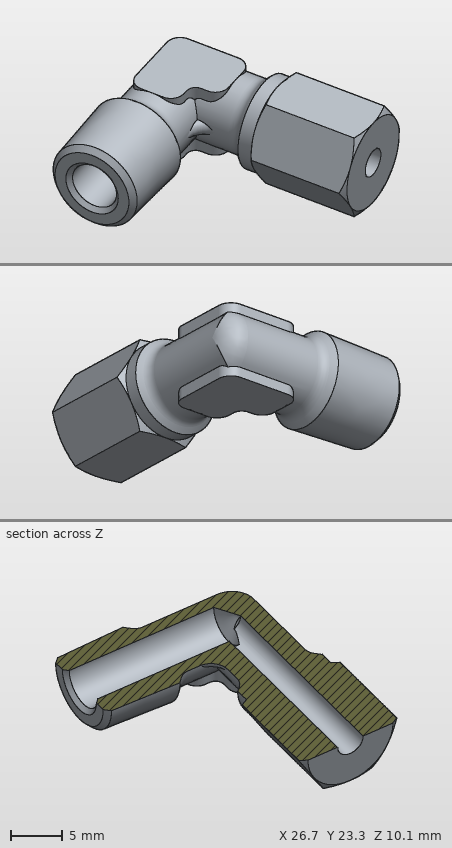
import cadquery as cq
import math


overall_length = 26.65

arm_radius = 4.0
corner_rounding = 2.5
inner_corner_radius = 2.0
web_radius = 0.8

pad_half_width_x = 2.75
pad_half_width_y = 2.95
pad_reach = 6.0
pad_corner_radius = 1.5
pad_notch_radius = 1.0

neck_radius = 1.5

male_radius = 5.05
male_shoulder = 9.0
male_length = 17.5
male_tip_chamfer = 0.59
taper_per_side = 1 / 32

across_flats = 10.0
collar_start = 9.2
hex_start = 10.7
female_length = overall_length - male_radius
hex_chamfer_angle = math.radians(30)

male_bore_radius = 2.5
male_bore_mouth_radius = 2.99
female_bore_radius = 1.5
drill_half_angle = math.radians(59)

collar_radius = across_flats / 2
hex_corner_radius = collar_radius / math.cos(math.pi / 6)


def along_x(solid):
    """Turn a solid built along -Y so that it runs along +X."""
    return solid.rotate((0, 0, 0), (0, 0, 1), 90)


def revolve_about_y(profile):
    return profile.close().revolve(360, (0, 0, 0), (0, 1, 0))


def arm_with_neck(shoulder, end_radius):
    """Profile of an arm along -Y, from the origin out to its shoulder edge."""
    arc_angle = math.pi / 4
    half_angle = arc_angle / 2
    neck_end_radius = arm_radius + neck_radius * (1 - math.cos(arc_angle))
    neck_end = shoulder - (end_radius - neck_end_radius)
    neck_start = neck_end - neck_radius * math.sin(arc_angle)
    neck_middle = (
        arm_radius + neck_radius * (1 - math.cos(half_angle)),
        -neck_start - neck_radius * math.sin(half_angle),
    )
    return (
        cq.Workplane("XY")
        .lineTo(arm_radius, 0)
        .lineTo(arm_radius, -neck_start)
        .threePointArc(neck_middle, (neck_end_radius, -neck_end))
        .lineTo(end_radius, -shoulder)
    )


def male_arm():
    chamfer_start = male_length - male_tip_chamfer
    chamfer_radius = male_radius - (chamfer_start - male_shoulder) * taper_per_side
    return revolve_about_y(
        arm_with_neck(male_shoulder, male_radius)
        .lineTo(chamfer_radius, -chamfer_start)
        .lineTo(chamfer_radius - male_tip_chamfer, -male_length)
        .lineTo(0, -male_length)
    )


def female_arm():
    arm = revolve_about_y(
        arm_with_neck(collar_start, collar_radius)
        .lineTo(collar_radius, -hex_start)
        .lineTo(0, -hex_start)
    )
    return along_x(arm).union(chamfered_hex())


def chamfered_hex():
    """Hexagon with corners towards +Y and -Y, its corners cut by a cone at both ends."""
    hexagon = (
        cq.Workplane("YZ", origin=(hex_start, 0, 0))
        .polygon(6, 2 * hex_corner_radius)
        .extrude(female_length - hex_start)
    )
    chamfer_length = (hex_corner_radius - collar_radius) * math.tan(hex_chamfer_angle)
    envelope = revolve_about_y(
        cq.Workplane("XY")
        .moveTo(0, -hex_start)
        .lineTo(collar_radius, -hex_start)
        .lineTo(hex_corner_radius, -hex_start - chamfer_length)
        .lineTo(hex_corner_radius, -female_length + chamfer_length)
        .lineTo(collar_radius, -female_length)
        .lineTo(0, -female_length)
    )
    return hexagon.intersect(along_x(envelope))


def outer_corner():
    """Rounded end of the male arm, trimmed to the cylinder of the female arm."""
    rounded_end = (
        cq.Workplane("XZ")
        .circle(arm_radius)
        .extrude(-arm_radius)
        .faces(">Y")
        .edges()
        .fillet(corner_rounding)
    )
    female_cylinder = cq.Workplane("YZ").circle(arm_radius).extrude(arm_radius, both=True)
    return rounded_end.intersect(female_cylinder)


def inner_corner_web():
    """Quarter ring that rounds the inside corner between the two arms."""
    ring_centre = arm_radius + inner_corner_radius
    ring_radius = inner_corner_radius + web_radius
    return (
        cq.Workplane("XZ", origin=(ring_centre, -ring_centre, 0))
        .center(-ring_radius, 0)
        .circle(web_radius)
        .revolve(90, (ring_radius, 0, 0), (ring_radius, -1, 0))
    )


def pads():
    """L-shaped block whose flat faces run level with the top and bottom of the arms."""
    notch_corner = (pad_half_width_x, -pad_half_width_y, 0)
    notch_edge = cq.selectors.NearestToPointSelector(notch_corner)
    return (
        cq.Workplane("XY")
        .moveTo(-pad_half_width_x, pad_half_width_y)
        .lineTo(pad_reach, pad_half_width_y)
        .lineTo(pad_reach, -pad_half_width_y)
        .lineTo(pad_half_width_x, -pad_half_width_y)
        .lineTo(pad_half_width_x, -pad_reach)
        .lineTo(-pad_half_width_x, -pad_reach)
        .close()
        .extrude(arm_radius, both=True)
        .edges(cq.selectors.StringSyntaxSelector("|Z") - notch_edge)
        .fillet(pad_corner_radius)
        .edges(notch_edge)
        .fillet(pad_notch_radius)
    )


def drilled_bore(radius, length):
    """Bore along -Y with its full diameter up to the origin and a conical tip beyond it."""
    return revolve_about_y(
        cq.Workplane("XY")
        .moveTo(0, radius / math.tan(drill_half_angle))
        .lineTo(radius, 0)
        .lineTo(radius, -length)
        .lineTo(0, -length)
    )


def male_mouth_chamfer():
    depth = male_bore_mouth_radius - male_bore_radius
    return revolve_about_y(
        cq.Workplane("XY")
        .moveTo(0, -male_length)
        .lineTo(male_bore_mouth_radius, -male_length)
        .lineTo(male_bore_radius, -male_length + depth)
        .lineTo(0, -male_length + depth)
    )


body = male_arm().union(pads()).union(female_arm())
body = body.union(outer_corner()).union(inner_corner_web())

result = (
    body.cut(drilled_bore(male_bore_radius, male_length))
    .cut(male_mouth_chamfer())
    .cut(along_x(drilled_bore(female_bore_radius, female_length)))
)